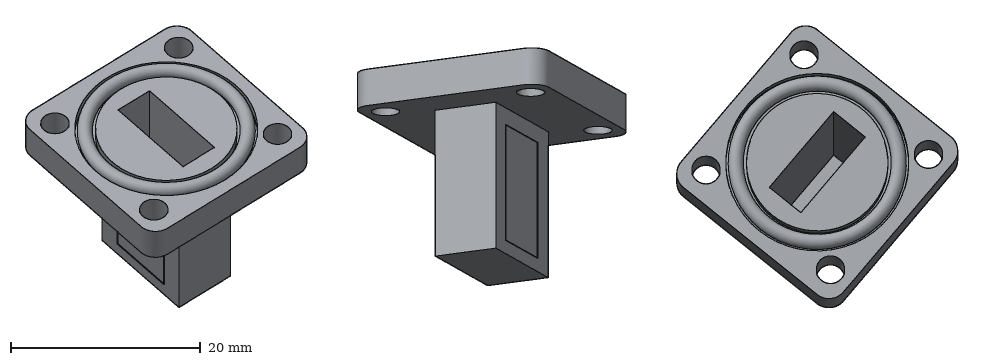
import cadquery as cq

FLANGE_SIDE = 22.23
FLANGE_THICKNESS = 4.0
FLANGE_CORNER_RADIUS = 2.0

HOLE_DIAMETER = 3.0
HOLE_SPACING_X = 16.25
HOLE_SPACING_Y = 17.03

BODY_WIDTH = 12.67
BODY_DEPTH = 7.11
BODY_LENGTH = 16.0

CAVITY_WIDTH = 10.67
CAVITY_HEIGHT = 4.31
END_WALL = (BODY_WIDTH - CAVITY_WIDTH) / 2
CAVITY_DEPTH = FLANGE_THICKNESS + BODY_LENGTH - END_WALL

LABEL_WIDTH = 7.65
LABEL_HEIGHT = 12.67
LABEL_DEPTH = 0.1
LABEL_BOTTOM_MARGIN = 1.51
LABEL_CENTER_Z = -BODY_LENGTH + LABEL_BOTTOM_MARGIN + LABEL_HEIGHT / 2

RING_SECTION_DIAMETER = 1.6
RING_PROTRUSION = 0.53
RING_CENTER_RADIUS = 8.6
GROOVE_OUTER_DIAMETER = 19.3
GROOVE_INNER_DIAMETER = 14.94
GROOVE_DEPTH = RING_SECTION_DIAMETER - RING_PROTRUSION


def make_flange():
    """Rounded square plate with its four mounting holes."""
    return (
        cq.Workplane("XY")
        .rect(FLANGE_SIDE, FLANGE_SIDE)
        .extrude(FLANGE_THICKNESS)
        .edges("|Z")
        .fillet(FLANGE_CORNER_RADIUS)
        .faces(">Z")
        .workplane()
        .rect(HOLE_SPACING_X, HOLE_SPACING_Y, forConstruction=True)
        .vertices()
        .hole(HOLE_DIAMETER)
    )


def make_waveguide_body():
    """Solid rectangular block below the flange."""
    return cq.Workplane("XY").rect(BODY_WIDTH, BODY_DEPTH).extrude(-BODY_LENGTH)


def make_cavity_cutter():
    """Blind waveguide cavity sunk from the flange face."""
    return (
        cq.Workplane("XY", origin=(0, 0, FLANGE_THICKNESS))
        .rect(CAVITY_WIDTH, CAVITY_HEIGHT)
        .extrude(-CAVITY_DEPTH)
    )


def make_groove_cutter():
    """Annular O-ring groove sunk from the flange face."""
    return (
        cq.Workplane("XY", origin=(0, 0, FLANGE_THICKNESS))
        .circle(GROOVE_OUTER_DIAMETER / 2)
        .circle(GROOVE_INNER_DIAMETER / 2)
        .extrude(-GROOVE_DEPTH)
    )


def make_label_cutter():
    """Shallow rectangular recess in the front of the waveguide body."""
    return (
        cq.Workplane("XZ", origin=(0, -BODY_DEPTH / 2, LABEL_CENTER_Z))
        .rect(LABEL_WIDTH, LABEL_HEIGHT)
        .extrude(-LABEL_DEPTH)
    )


def make_housing():
    """Flange and waveguide body as one solid, with all recesses cut."""
    return (
        make_flange()
        .union(make_waveguide_body())
        .cut(make_cavity_cutter())
        .cut(make_groove_cutter())
        .cut(make_label_cutter())
    )


def make_o_ring():
    """Torus touching the groove floor and standing proud of the flange face."""
    center_z = FLANGE_THICKNESS + RING_PROTRUSION - RING_SECTION_DIAMETER / 2
    return (
        cq.Workplane("XZ")
        .center(RING_CENTER_RADIUS, center_z)
        .circle(RING_SECTION_DIAMETER / 2)
        .revolve(360, (-RING_CENTER_RADIUS, 0), (-RING_CENTER_RADIUS, 1))
    )


housing = make_housing()
o_ring = make_o_ring()

result = cq.Compound.makeCompound([housing.solids().val(), o_ring.val()])